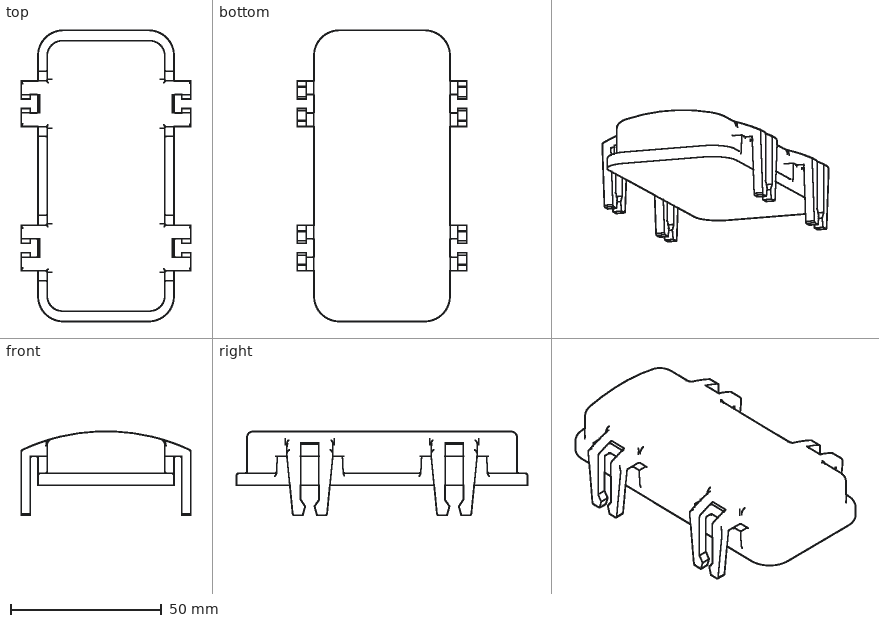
import cadquery as cq
import math

FLANGE_WIDTH = 45.2
FLANGE_LENGTH = 96.68
FLANGE_HEIGHT = 4.05
FLANGE_CORNER_RADIUS = 8.5
FLANGE_TOP_FILLET = 1.05

DOME_INSET = 3.5
DOME_WIDTH = 39.0
DOME_LENGTH = FLANGE_LENGTH - 2 * DOME_INSET
DOME_CORNER_RADIUS = FLANGE_CORNER_RADIUS - DOME_INSET
DOME_TOP_FILLET = 2.1
CROWN_HEIGHT = 17.94
CROWN_RADIUS = 65.5

OUTER_WIDTH = 56.28
CLIP_Y = 23.93
ARM_BOTTOM = 9.55
ARM_SPAN = 15.2
ARM_TOP_FILLET = 1.0
ARM_UNDERSIDE_FILLET = 0.5
GUSSET_RADIUS = 0.5
GUSSET_TOP_FILLET = 1.8
GUSSET_EMBED = GUSSET_TOP_FILLET + 0.5
SLOT_WIDTH = 6.05
SLOT_FLOOR_X = 22.55
SLOT_RIM_CHAMFER = 0.4
SLOT_CORNER_RADIUS = 0.5

PAD_BOTTOM_WIDTH = 22.5
PAD_TOP_WIDTH = 21.6
INNER_CORNER_FILLET = 0.5

LEG_THICKNESS = 3.04
LEG_INNER_X = OUTER_WIDTH / 2 - LEG_THICKNESS
LEG_BOTTOM = -10.0
LEG_HEEL_HALF_SPAN = 5.75
LEG_HEEL_Z = -9.4
LEG_TIP_OUTER = 5.4
LEG_TIP_INNER = 2.35
BARB_TOP_Z = -4.8
BARB_PEAK_Z = -7.0
BARB_PEAK = 1.52

SELECT_MARGIN = 0.1


def rounded_plate(width, length, corner_radius, height):
    return cq.Workplane("XY").rect(width, length).extrude(height).edges("|Z").fillet(corner_radius)


def crown():
    """Long round bar along Y whose top is the arch of the cover."""
    return (
        cq.Workplane("XZ")
        .center(0, CROWN_HEIGHT - CROWN_RADIUS)
        .circle(CROWN_RADIUS)
        .extrude(FLANGE_LENGTH, both=True)
    )


def crown_z(x):
    """Height of the arch at a distance x from the middle."""
    return CROWN_HEIGHT - CROWN_RADIUS + math.sqrt(CROWN_RADIUS ** 2 - x ** 2)


def flange():
    plate = rounded_plate(FLANGE_WIDTH, FLANGE_LENGTH, FLANGE_CORNER_RADIUS, FLANGE_HEIGHT)
    return plate.faces(">Z").edges().fillet(FLANGE_TOP_FILLET)


def dome():
    block = rounded_plate(DOME_WIDTH, DOME_LENGTH, DOME_CORNER_RADIUS, CROWN_HEIGHT)
    return block.intersect(crown()).faces(">Z").edges().fillet(DOME_TOP_FILLET)


def centred_box(half_x, half_y, z_low, z_high):
    """Selector of what lies wholly inside a box centred on the Z axis."""
    return cq.selectors.BoxSelector(
        (-half_x - SELECT_MARGIN, -half_y - SELECT_MARGIN, z_low - SELECT_MARGIN),
        (half_x + SELECT_MARGIN, half_y + SELECT_MARGIN, z_high + SELECT_MARGIN),
        boundingbox=True,
    )


def inner_corners(body):
    """Concave edges where the dome, the flange and the pads meet."""
    pad_reach = CLIP_Y + PAD_BOTTOM_WIDTH / 2
    along_y = cq.selectors.ParallelDirSelector(cq.Vector(0, 1, 0))
    dome_foot = centred_box(DOME_WIDTH / 2, DOME_LENGTH / 2, FLANGE_HEIGHT, FLANGE_HEIGHT)
    pad_foot = centred_box(FLANGE_WIDTH / 2, pad_reach, FLANGE_HEIGHT, FLANGE_HEIGHT) - along_y
    pad_sides = centred_box(DOME_WIDTH / 2, pad_reach, FLANGE_HEIGHT, ARM_BOTTOM) - along_y
    return body.edges(dome_foot + pad_foot + pad_sides)


def arm_underside_fillet(corner_x, into_gap, y, direction):
    """Concave fillet along Y under one arm; into_gap is +1 or -1, the X direction into the gap."""
    radius = ARM_UNDERSIDE_FILLET
    bend = radius * (1 - math.sqrt(0.5))
    length = (ARM_SPAN - SLOT_WIDTH) / 2
    middle_y = y + direction * (SLOT_WIDTH + length) / 2
    return (
        cq.Workplane("XZ", origin=(corner_x, middle_y, ARM_BOTTOM))
        .lineTo(into_gap * radius, 0)
        .threePointArc((into_gap * bend, -bend), (0, -radius))
        .close()
        .extrude(length / 2, both=True)
    )


def gusset(side, y, direction):
    """Rounded corner post between the dome wall and the outer face of one arm."""
    wall = DOME_WIDTH / 2
    depth = GUSSET_EMBED
    bend = GUSSET_RADIUS * (1 - math.sqrt(0.5))
    face = ARM_SPAN / 2

    def at(x, across):
        return (side * x, y + direction * across)

    post = (
        cq.Workplane("XY", origin=(0, 0, ARM_BOTTOM))
        .moveTo(*at(wall + GUSSET_RADIUS, face))
        .threePointArc(at(wall + bend, face + bend), at(wall, face + GUSSET_RADIUS))
        .lineTo(*at(wall - depth, face + GUSSET_RADIUS))
        .lineTo(*at(wall - depth, face - depth))
        .lineTo(*at(wall + GUSSET_RADIUS, face - depth))
        .close()
        .extrude(CROWN_HEIGHT - ARM_BOTTOM)
        .intersect(crown())
    )
    rim = cq.selectors.NearestToPointSelector((*at(wall + bend, face + bend), crown_z(wall)))
    return post.edges(rim).fillet(GUSSET_TOP_FILLET)


def arm_bridge(y):
    """Bar across the cover that carries the arms of two opposite clips."""
    bar = (
        cq.Workplane("XY", origin=(0, y, ARM_BOTTOM))
        .rect(OUTER_WIDTH, ARM_SPAN)
        .extrude(CROWN_HEIGHT - ARM_BOTTOM)
        .intersect(crown())
    )
    return bar.faces(">Z").edges().fillet(ARM_TOP_FILLET)


def arm_slot(side, y):
    """Opening between the two arms of one clip, with its floor chamfered at the top."""
    length = OUTER_WIDTH / 2 - SLOT_FLOOR_X
    opening = (
        cq.Workplane("XY", origin=(side * (SLOT_FLOOR_X + length / 2), y, ARM_BOTTOM))
        .rect(length, SLOT_WIDTH)
        .extrude(CROWN_HEIGHT)
        .edges("|Z")
        .edges("<X" if side > 0 else ">X")
        .fillet(SLOT_CORNER_RADIUS)
    )
    chamfer_low = crown_z(SLOT_FLOOR_X) - SLOT_RIM_CHAMFER
    chamfer_size = 2 * SLOT_RIM_CHAMFER + SLOT_CORNER_RADIUS
    inner_end = SLOT_FLOOR_X - chamfer_size
    outer_end = SLOT_FLOOR_X + SLOT_CORNER_RADIUS
    chamfer = (
        cq.Workplane("XZ", origin=(0, y, 0))
        .moveTo(side * SLOT_FLOOR_X, chamfer_low)
        .lineTo(side * inner_end, chamfer_low + chamfer_size)
        .lineTo(side * outer_end, chamfer_low + chamfer_size)
        .lineTo(side * outer_end, chamfer_low)
        .close()
        .extrude(SLOT_WIDTH / 2, both=True)
    )
    return opening.union(chamfer)


def pad_bridge(y):
    """Bar across the cover whose ends are the pads of two opposite clips."""
    return (
        cq.Workplane("YZ", origin=(-FLANGE_WIDTH / 2, y, 0))
        .polyline([
            (-PAD_BOTTOM_WIDTH / 2, 0),
            (PAD_BOTTOM_WIDTH / 2, 0),
            (PAD_TOP_WIDTH / 2, ARM_BOTTOM),
            (-PAD_TOP_WIDTH / 2, ARM_BOTTOM),
        ])
        .close()
        .extrude(FLANGE_WIDTH)
    )


def leg(side, y, direction):
    """Leg on one side of a clip; direction is +1 or -1 along Y from the clip centre."""
    outline = [
        (SLOT_WIDTH / 2, ARM_BOTTOM),
        (ARM_SPAN / 2, ARM_BOTTOM),
        (LEG_HEEL_HALF_SPAN, LEG_HEEL_Z),
        (LEG_TIP_OUTER, LEG_BOTTOM),
        (LEG_TIP_INNER, LEG_BOTTOM),
        (BARB_PEAK, BARB_PEAK_Z),
        (SLOT_WIDTH / 2, BARB_TOP_Z),
    ]
    start_x = LEG_INNER_X if side > 0 else -OUTER_WIDTH / 2
    return (
        cq.Workplane("YZ", origin=(start_x, y, 0))
        .polyline([(direction * across, z) for across, z in outline])
        .close()
        .extrude(LEG_THICKNESS)
    )


result = flange().union(dome())
for clip_y in (-CLIP_Y, CLIP_Y):
    result = result.union(pad_bridge(clip_y))
result = inner_corners(result).fillet(INNER_CORNER_FILLET)

for clip_y in (-CLIP_Y, CLIP_Y):
    result = result.union(arm_bridge(clip_y))
    for side in (-1, 1):
        result = result.cut(arm_slot(side, clip_y))
        for direction in (-1, 1):
            result = result.union(gusset(side, clip_y, direction))
            result = result.union(leg(side, clip_y, direction))
            for corner_x, into_gap in ((FLANGE_WIDTH / 2, side), (LEG_INNER_X, -side)):
                corner = arm_underside_fillet(side * corner_x, into_gap, clip_y, direction)
                result = result.union(corner)